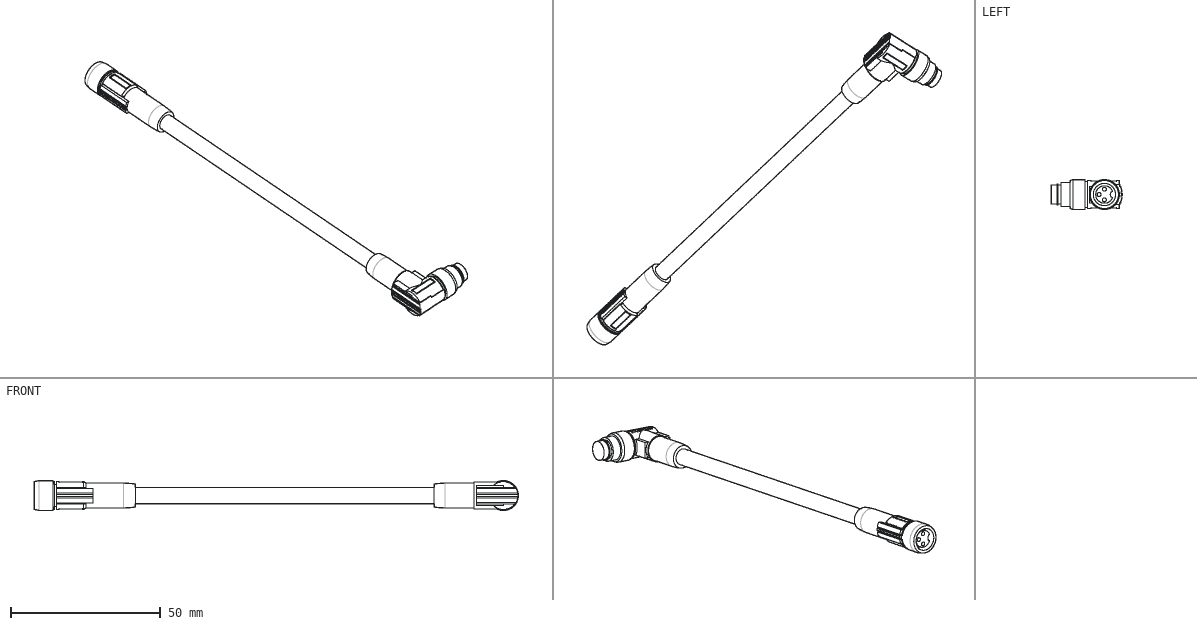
import cadquery as cq

total_length = 161.7
nut_radius = 5.0
nut_chamfer_step = 0.3
cable_radius = 2.7
body_radius = 4.2
collar_end_radius = 3.9
ridge_radius = 5.0

nut_chamfer_end = 1.6
nut_end = 6.3
neck_radius = 4.7
neck_end = 6.8
grip_start = 7.5
neck_groove_radius = 3.7
panel_bevel_start = 16.5
panel_end = 17.3
panel_radius = 4.7
panel_base = 2.7
side_ridge_end = 19.7
side_ridge_half_width = 2.5
collar_start = 29.9
collar_end = 33.8
recess_half_width = 1.1
recess_floor = 4.2
panel_recess_start = 8.2
panel_recess_end = 16.2

mouth_radius = 3.7
mouth_depth = 1.0
insert_radius = 2.9
insert_gap_depth = 3.9
contact_radius = 0.6
contact_offset = 1.8
contact_depth = 3.2
key_radius = 1.1
key_offset = 3.0

elbow_collar_start = 133.5
elbow_body_start = 137.1
elbow_sleeve_start = 146.8
elbow_sleeve_radius = 4.5
wing_start = 147.8
elbow_x = total_length - nut_radius
barrel_radius = 4.7
barrel_bottom = -5.0
barrel_top = 5.7
barrel_rib_radius = 4.9
barrel_rib_half_width = 2.3
barrel_recess_bottom = -4.0
barrel_recess_top = 4.5
grip_back_radius = 6.0
grip_back_half_width = 2.3
grip_shelf_depth = 5.5
grip_shelf_half_width = 2.7
wing_depth = 5.2
wing_half_width = 3.4
inner_ridge_half_width = 2.7

fine_groove_offset = 0.57
fine_groove_width = 0.5
fine_groove_depth = 0.4

plug_neck_radius = 4.4
plug_nut_start = 6.5
plug_nut_end = 10.5
plug_nut_chamfer_end = 11.5
plug_sleeve_radius = 4.0
plug_sleeve_end = 14.5
plug_tip_end = 17.8
plug_tip_radius = 3.2
plug_ring_radius = 3.5
plug_ring_start = 15.5
plug_ring_width = 0.25


def box_between(x_range, y_range, z_range):
    """Box spanning the given ranges along the three axes."""
    sizes = [high - low for low, high in (x_range, y_range, z_range)]
    return cq.Workplane("XY").box(*sizes, centered=False).translate((x_range[0], y_range[0], z_range[0]))


def cylinder_x(start, end, radius, y=0.0, z=0.0):
    """Cylinder parallel to X."""
    return cq.Workplane("YZ", origin=(start, y, z)).circle(radius).extrude(end - start)


def cylinder_y(start, end, radius):
    """Cylinder around the plug axis."""
    return cq.Workplane("XZ", origin=(elbow_x, start, 0)).circle(radius).extrude(start - end)


def turned_x(profile):
    """Solid of revolution about X from (x, radius) points."""
    points = [(profile[0][0], 0)] + profile + [(profile[-1][0], 0)]
    return cq.Workplane("XY").polyline(points).close().revolve(360, (0, 0), (1, 0))


def turned_y(profile):
    """Solid of revolution about the plug axis from (y, radius) points."""
    points = [(0, profile[0][0])] + [(r, y) for y, r in profile] + [(0, profile[-1][0])]
    solid = cq.Workplane("XY").polyline(points).close().revolve(360, (0, 0), (0, 1))
    return solid.translate((elbow_x, 0, 0))


def side_ridge(start, end, radius, half_width, side):
    """Lengthwise ridge on the +Y or -Y side with two fine grooves."""
    y_range = sorted((0, side * radius))
    ridge = cylinder_x(start, end, radius).intersect(
        box_between((start, end), y_range, (-half_width, half_width))
    )
    for z in (-fine_groove_offset, fine_groove_offset):
        groove_y = sorted((side * (radius - fine_groove_depth), side * (radius + fine_groove_depth)))
        groove_z = (z - fine_groove_width / 2, z + fine_groove_width / 2)
        ridge = ridge.cut(box_between((start, end), groove_y, groove_z))
    return ridge


def facing_recess(x_range, y_range, side):
    """Cutter for a flat-floored recess on the +Z or -Z side."""
    return box_between(x_range, y_range, sorted((side * recess_floor, side * 2 * recess_floor)))


def cable_and_sleeves():
    """Stepped turned core from the socket nut to the elbow."""
    return turned_x([
        (0, nut_radius - nut_chamfer_step),
        (nut_chamfer_end, nut_radius),
        (nut_end, nut_radius),
        (nut_end, neck_radius),
        (neck_end, neck_radius),
        (neck_end, neck_groove_radius),
        (grip_start, neck_groove_radius),
        (grip_start, body_radius),
        (collar_start, body_radius),
        (collar_start, cable_radius),
        (elbow_body_start, cable_radius),
        (elbow_body_start, body_radius),
        (elbow_sleeve_start, body_radius),
        (elbow_sleeve_start, elbow_sleeve_radius),
        (elbow_x, elbow_sleeve_radius),
    ])


def rounded_collar(base, end):
    """End of a sleeve, curving gently inward from base to end."""
    middle_radius = body_radius - (body_radius - collar_end_radius) / 4
    outline = (
        cq.Workplane("XY")
        .moveTo(base, 0)
        .lineTo(base, body_radius)
        .threePointArc(((base + end) / 2, middle_radius), (end, collar_end_radius))
        .lineTo(end, 0)
        .close()
    )
    return outline.revolve(360, (0, 0), (1, 0))


def socket_grip():
    """Raised panels above and below, ridges on both sides."""
    pieces = []
    panel_blank = turned_x([
        (grip_start, panel_radius),
        (panel_bevel_start, panel_radius),
        (panel_end, body_radius),
    ])
    for side in (-1, 1):
        panel_z = sorted((side * panel_base, side * nut_radius))
        panel = panel_blank.intersect(
            box_between((grip_start, panel_end), (-nut_radius, nut_radius), panel_z)
        )
        ridge = side_ridge(grip_start, side_ridge_end, ridge_radius, side_ridge_half_width, side)
        pieces += [panel, ridge]
    return pieces


def socket_cavity():
    """Open mouth, ring gap around the insert, three contact holes and a keyway."""
    mouth = cylinder_x(0, mouth_depth, mouth_radius)
    gap = cylinder_x(0, insert_gap_depth, mouth_radius).cut(cylinder_x(0, insert_gap_depth, insert_radius))
    cavity = mouth.union(gap)
    for y, z in ((contact_offset, 0), (0, contact_offset), (0, -contact_offset)):
        cavity = cavity.union(cylinder_x(0, mouth_depth + contact_depth, contact_radius, y, z))
    key = cylinder_x(0, insert_gap_depth, key_radius, -key_offset).intersect(
        cylinder_x(0, insert_gap_depth, mouth_radius)
    )
    return cavity.union(key)


def elbow_barrel():
    """Upright barrel of the elbow with a low rib on its outer side."""
    barrel = cylinder_y(barrel_bottom, barrel_top, barrel_radius)
    rib = cylinder_y(barrel_bottom, barrel_top, barrel_rib_radius).intersect(
        box_between(
            (elbow_x, total_length),
            (barrel_bottom, barrel_top),
            (-barrel_rib_half_width, barrel_rib_half_width),
        )
    )
    return barrel.union(rib)


def elbow_grip():
    """Ribbed back of the elbow, its side wings and the ridge in the inner corner."""
    back = side_ridge(wing_start, total_length, grip_back_radius, grip_back_half_width, -1)
    shelf = box_between(
        (wing_start, total_length),
        (-grip_shelf_depth, 0),
        (-grip_shelf_half_width, grip_shelf_half_width),
    )
    outline = box_between(
        (wing_start, elbow_x), (-grip_back_radius, 0), (-nut_radius, nut_radius)
    ).union(cylinder_y(-grip_back_radius, 0, barrel_rib_radius))
    wing = box_between((wing_start, elbow_x), (-wing_depth, 0), (-wing_half_width, wing_half_width))
    inner_ridge = box_between(
        (wing_start, elbow_x), (0, ridge_radius), (-inner_ridge_half_width, inner_ridge_half_width)
    )
    return back.union(shelf).intersect(outline).union(wing).union(inner_ridge)


def plug():
    """Turned plug with its nut, sleeve, tip and seal ring."""
    chamfered_radius = nut_radius - nut_chamfer_step
    body = turned_y([
        (barrel_top, plug_neck_radius),
        (plug_nut_start, plug_neck_radius),
        (plug_nut_start, nut_radius),
        (plug_nut_end, nut_radius),
        (plug_nut_chamfer_end, chamfered_radius),
        (plug_nut_chamfer_end, plug_sleeve_radius),
        (plug_sleeve_end, plug_sleeve_radius),
        (plug_sleeve_end, plug_tip_radius),
        (plug_tip_end, plug_tip_radius),
    ])
    return body.union(cylinder_y(plug_ring_start, plug_ring_start + plug_ring_width, plug_ring_radius))


result = cable_and_sleeves()
result = result.union(rounded_collar(collar_start, collar_end))
result = result.union(rounded_collar(elbow_body_start, elbow_collar_start))
for piece in socket_grip():
    result = result.union(piece)
result = result.union(elbow_grip()).union(elbow_barrel()).union(plug())
result = result.cut(socket_cavity())

recess_width = (-recess_half_width, recess_half_width)
barrel_recess_x = (elbow_x - recess_half_width, elbow_x + recess_half_width)
for side in (-1, 1):
    result = result.cut(facing_recess((panel_recess_start, panel_recess_end), recess_width, side))
    result = result.cut(facing_recess(barrel_recess_x, (barrel_recess_bottom, barrel_recess_top), side))